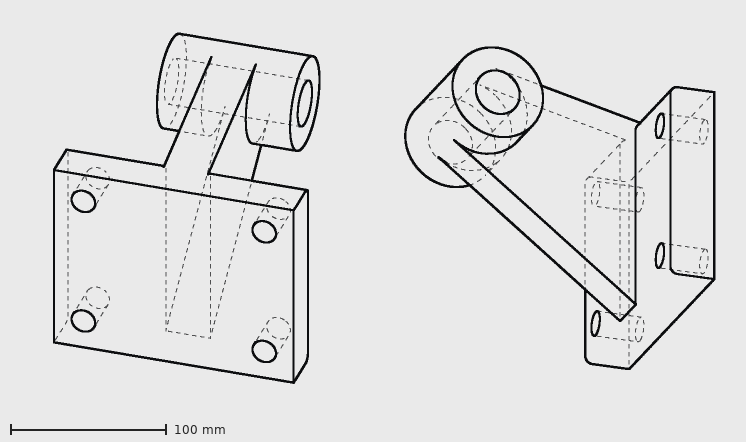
import cadquery as cq
import math

plate_width = 162.0
plate_height = 130.0
plate_thickness = 30.0
edge_radius = 5.0

mount_hole_diameter = 16.0
mount_hole_inset = 20.0
mount_hole_pitch_x = plate_width - 2 * mount_hole_inset
mount_hole_pitch_z = plate_height - 2 * mount_hole_inset

overall_depth = 166.0
overall_height = 156.0
boss_diameter = 62.0
boss_length = 90.0
bore_diameter = 30.0
boss_radius = boss_diameter / 2
boss_y = overall_depth - boss_radius
boss_z = overall_height - boss_radius

rib_thickness = 30.0
rib_root_y = plate_thickness - edge_radius
rib_top_setback = 9.5


def lower_tangent_point(start):
    """Point where a line from start touches the underside of the boss."""
    dy = start[0] - boss_y
    dz = start[1] - boss_z
    spread = math.acos(boss_radius / math.hypot(dy, dz))
    angle = math.atan2(dz, dy) + spread
    return (boss_y + boss_radius * math.cos(angle), boss_z + boss_radius * math.sin(angle))


def make_plate():
    """Plate with its two horizontal inner edges rounded."""
    plate = cq.Workplane("XY").box(
        plate_width, plate_thickness, plate_height, centered=(True, False, False)
    )
    plate = plate.faces(">Y").edges("|X").fillet(edge_radius)
    holes = (
        cq.Workplane("XZ", origin=(0, 0, plate_height / 2))
        .rect(mount_hole_pitch_x, mount_hole_pitch_z, forConstruction=True)
        .vertices()
        .circle(mount_hole_diameter / 2)
        .extrude(-plate_thickness)
    )
    return plate.cut(holes)


def boss_cylinder(diameter):
    """Cylinder as long as the boss, on the boss axis."""
    return (
        cq.Workplane("YZ")
        .center(boss_y, boss_z)
        .circle(diameter / 2)
        .extrude(boss_length / 2, both=True)
    )


def make_rib():
    """Tapered rib with its lower edge tangent to the boss."""
    upper_root = (rib_root_y, plate_height)
    lower_root = (rib_root_y, 0)
    upper_end = (boss_y - rib_top_setback, boss_z + math.sqrt(boss_radius**2 - rib_top_setback**2))
    outline = [
        lower_root,
        lower_tangent_point(lower_root),
        (boss_y, boss_z),
        upper_end,
        upper_root,
    ]
    return cq.Workplane("YZ").polyline(outline).close().extrude(rib_thickness / 2, both=True)


body = make_plate().union(make_rib()).union(boss_cylinder(boss_diameter))
result = body.cut(boss_cylinder(bore_diameter))